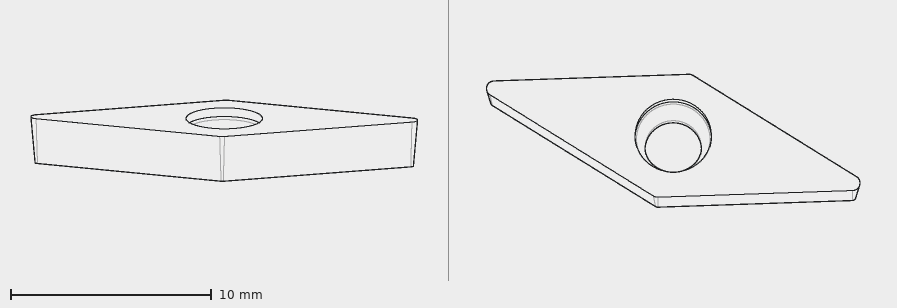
import cadquery as cq
import math

inscribed_diameter = 6.35
thickness = 2.38
acute_angle = math.radians(35)
corner_radius = 0.397
clearance_angle = 5

hole_diameter = 2.8
mouth_diameter = 3.8
mouth_depth = 0.45
seat_diameter = 3.66
bevel_depth = 0.14
seat_radius = 2.5


def make_body():
    """Rounded rhombus, full size at the top face and tapering downwards."""
    side = inscribed_diameter / math.sin(acute_angle)
    half_height = inscribed_diameter / 2
    acute_x = side * (1 + math.cos(acute_angle)) / 2
    obtuse_x = side * (1 - math.cos(acute_angle)) / 2
    corners = [
        (-acute_x, -half_height),
        (obtuse_x, -half_height),
        (acute_x, half_height),
        (-obtuse_x, half_height),
    ]
    outline = cq.Sketch().polygon(corners + corners[:1]).vertices().fillet(corner_radius)
    return (
        cq.Workplane("XY", origin=(0, 0, thickness))
        .placeSketch(outline)
        .extrude(-thickness, taper=clearance_angle)
    )


def make_screw_hole():
    """Cylindrical mouth, narrow bevel, then a convex seat blending into the through hole."""
    hole_radius = hole_diameter / 2
    mouth_radius = mouth_diameter / 2
    seat_top_radius = seat_diameter / 2
    bevel_top = thickness - mouth_depth
    seat_top = bevel_top - bevel_depth
    seat_sweep = math.acos(1 - (seat_top_radius - hole_radius) / seat_radius)
    seat_bottom = seat_top - seat_radius * math.sin(seat_sweep)
    arc_middle = (
        hole_radius + seat_radius * (1 - math.cos(seat_sweep / 2)),
        seat_bottom + seat_radius * math.sin(seat_sweep / 2),
    )
    return (
        cq.Workplane("XZ")
        .lineTo(hole_radius, 0)
        .lineTo(hole_radius, seat_bottom)
        .threePointArc(arc_middle, (seat_top_radius, seat_top))
        .lineTo(mouth_radius, bevel_top)
        .lineTo(mouth_radius, thickness)
        .lineTo(0, thickness)
        .close()
        .revolve(360, (0, 0), (0, 1))
    )


result = make_body().cut(make_screw_hole())